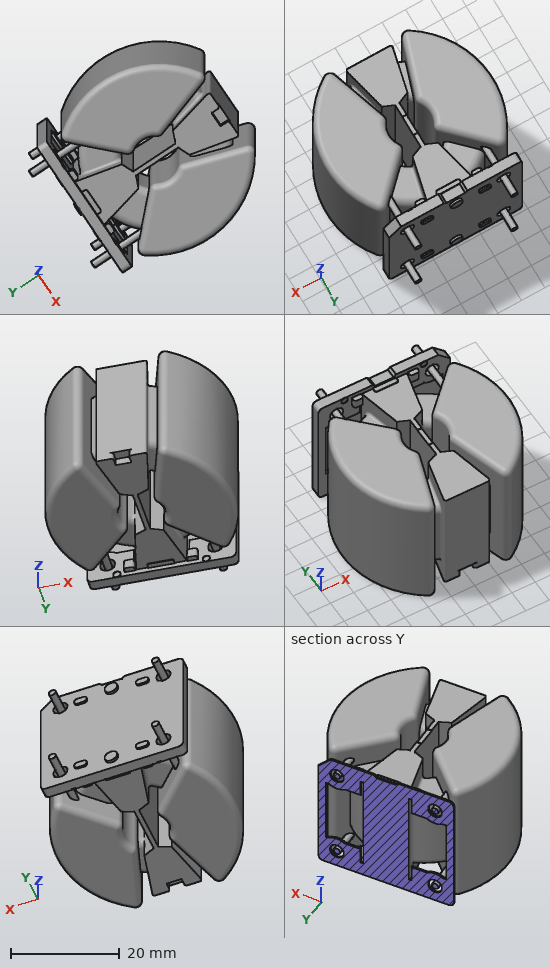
import cadquery as cq
import math


ring_outer_radius = 14.3
ring_inner_radius = 6.35
ring_height = 15.55
ring_edge_radius = 1.55
ring_root_radius = 0.55

winding_span = 35.5
winding_half_width = winding_span / 2
winding_height = 26.0
winding_inner_radius = 4.4
winding_arc_offset = 1.35
winding_lower_angle = 18
winding_lower_gap = 2.05
winding_edge_radius = 1.3

block_height = 23.4
block_end_y = 15.25
block_shoulder_y = 14.6
block_width = 9.65
block_half_width = block_width / 2
block_tip_half_width = 2.75
block_tip_y = 5.65
block_corner_radius = 0.37
web_width = 0.92
web_half_width = web_width / 2
web_end_y = 4.7
web_notch_length = 4.1
web_notch_depth = 0.15
foot_slot_width = 2.95
foot_slot_height = 1.5
foot_slot_depth = 1.85
foot_slot_lip_radius = 0.5

plate_width = 28.35
plate_height = 25.53
plate_front_y = 14.7
plate_back_y = 16.8
plate_corner_radius = 1.05
plate_key_chamfer = 2.6
plate_notch_width = 4.0
plate_notch_mouth_width = 5.05
plate_notch_depth = 0.5
recess_half_width = 12.55
recess_half_height = 6.6
pocket_half_width = 5.3
mark_x = 8.5
mark_z = 12.0
mark_radius = 0.7
mark_depth = 0.1

pin_x = 10.25
pin_z = 9.25
pin_radius = 0.7
pin_end_y = 20.8
pin_root_y = 7.4
pin_hole_radius = 1.4
pin_boss_radius = 3.15

clip_top_z = 11.85
clip_height = 1.95
clip_reach = 1.05
side_clip_x = 6.0
side_clip_width = 2.0
side_clip_radius = 0.5
centre_clip_width = 5.05
centre_clip_radius = 0.37
centre_stud_radius = 1.25
centre_stud_z = 9.95
centre_stud_height = 0.5
side_stud_x = 6.15
side_stud_width = 2.5
side_stud_height = 0.37


def centred_prism(outline, height):
    """Extrude an XY outline symmetrically about Z = 0."""
    return outline.extrude(height / 2, both=True)


def box_between(x, y, z):
    """Box given by its (low, high) limits along each axis."""
    size = [high - low for low, high in (x, y, z)]
    return cq.Workplane("XY").box(*size, centered=False).translate((x[0], y[0], z[0]))


def rod(x, z, radius, y_start, y_end):
    """Cylinder along Y."""
    plane = cq.Workplane("XZ", origin=(0, y_start, 0))
    return plane.center(x, z).circle(radius).extrude(y_start - y_end)


def make_winding():
    """Winding on the -X side, a ring sector with every edge rounded."""
    outer_radius = winding_half_width + winding_arc_offset
    diagonal = math.sqrt(0.5)
    angle = math.radians(winding_lower_angle)
    side_x, side_y = -math.sin(angle), -math.cos(angle)
    foot_x, foot_y = -winding_lower_gap * math.cos(angle), winding_lower_gap * math.sin(angle)

    half = winding_arc_offset * diagonal
    upper_run = math.sqrt(outer_radius**2 - half**2) - half
    upper_outer = (-upper_run * diagonal, upper_run * diagonal)
    upper_inner = (-winding_inner_radius * diagonal, winding_inner_radius * diagonal)

    inner_run = math.sqrt(winding_inner_radius**2 - winding_lower_gap**2)
    across = winding_lower_gap + winding_arc_offset * math.cos(angle)
    along = winding_arc_offset * math.sin(angle)
    outer_run = math.sqrt(outer_radius**2 - across**2) - along
    lower_inner = (foot_x + inner_run * side_x, foot_y + inner_run * side_y)
    lower_outer = (foot_x + outer_run * side_x, foot_y + outer_run * side_y)

    outline = (
        cq.Workplane("XY")
        .moveTo(*upper_inner)
        .lineTo(*upper_outer)
        .threePointArc((-winding_half_width, 0), lower_outer)
        .lineTo(*lower_inner)
        .threePointArc((-winding_inner_radius, 0), upper_inner)
        .close()
    )
    return centred_prism(outline, winding_height).edges().fillet(winding_edge_radius)


def make_ring():
    outline = cq.Workplane("XY").circle(ring_outer_radius).circle(ring_inner_radius)
    return centred_prism(outline, ring_height).edges().fillet(ring_edge_radius)


def make_block():
    """Wedge block on the +Y side."""
    half_outline = [
        (web_half_width, web_end_y),
        (block_tip_half_width, block_tip_y),
        (block_half_width, block_shoulder_y),
        (block_half_width, block_end_y),
    ]
    mirrored = [(-x, y) for x, y in reversed(half_outline)]
    outline = cq.Workplane("XY").polyline(half_outline + mirrored).close()
    block = centred_prism(outline, block_height)
    return block.edges("|Z and >Y").fillet(block_corner_radius)


def make_web():
    web = cq.Workplane("XY").box(web_width, 2 * web_end_y, block_height)
    notch = cq.Workplane("XY").box(web_width, web_notch_length, 2 * web_notch_depth)
    return web.cut(notch.translate((0, 0, block_height / 2)))


def make_foot_slot():
    """Slot in the foot of the -Y block, with its mouth rounded outwards."""
    half = foot_slot_width / 2
    lip = foot_slot_lip_radius
    bulge = lip * (1 - math.sqrt(0.5))
    front = -block_end_y
    outline = (
        cq.Workplane("XY", origin=(0, 0, -block_height / 2))
        .moveTo(-half - lip, front)
        .lineTo(half + lip, front)
        .threePointArc((half + bulge, front + bulge), (half, front + lip))
        .lineTo(half, front + foot_slot_depth)
        .lineTo(-half, front + foot_slot_depth)
        .lineTo(-half, front + lip)
        .threePointArc((-half - bulge, front + bulge), (-half - lip, front))
        .close()
    )
    return outline.extrude(foot_slot_height)


def make_spacer_on_ring():
    back_block = make_block()
    front_block = back_block.mirror("XZ")
    body = make_ring().union(back_block).union(front_block)

    reach = (block_half_width, block_end_y, (ring_height + block_height) / 4)
    within_blocks = cq.selectors.BoxSelector([-r for r in reach], reach, boundingbox=True)
    body = body.edges(within_blocks).fillet(ring_root_radius)
    return body.union(make_web()).cut(make_foot_slot())


def make_plate():
    thickness = plate_back_y - plate_front_y
    plate = cq.Workplane("XY").box(plate_width, thickness, plate_height)
    plate = plate.translate((0, (plate_front_y + plate_back_y) / 2, 0))
    plate = plate.edges("|Y and >X and >Z").chamfer(plate_key_chamfer)
    plate = plate.edges("|Y and <X").fillet(plate_corner_radius)
    plate = plate.edges("|Y and >X and <Z").fillet(plate_corner_radius)

    top = plate_height / 2
    floor = top - plate_notch_depth
    notch = (
        cq.Workplane("XZ", origin=(0, plate_back_y, 0))
        .polyline([
            (-plate_notch_mouth_width / 2, top),
            (-plate_notch_width / 2, floor),
            (plate_notch_width / 2, floor),
            (plate_notch_mouth_width / 2, top),
        ])
        .close()
        .extrude(thickness)
    )

    depth_range = (plate_front_y, block_end_y)
    pocket_half_height = clip_top_z - clip_height
    recess = box_between(
        (-recess_half_width, recess_half_width), depth_range, (-recess_half_height, recess_half_height)
    )
    pocket = box_between(
        (-pocket_half_width, pocket_half_width), depth_range, (-pocket_half_height, pocket_half_height)
    )
    recess = recess.union(pocket)
    for x in (-pin_x, pin_x):
        for z in (-pin_z, pin_z):
            recess = recess.cut(rod(x, z, pin_boss_radius, *depth_range))
            plate = plate.cut(rod(x, z, pin_hole_radius, plate_front_y, plate_back_y))
    plate = plate.cut(notch).cut(recess)

    for x in (-mark_x, mark_x):
        for z in (-mark_z, mark_z):
            plate = plate.cut(rod(x, z, mark_radius, plate_front_y, plate_front_y + mark_depth))
    return plate


def make_clip(x, width, radius):
    """Clip near the top edge, its front corners rounded."""
    clip = box_between(
        (x - width / 2, x + width / 2),
        (plate_front_y - clip_reach, plate_back_y),
        (clip_top_z - clip_height, clip_top_z),
    )
    return clip.edges("|Z and <Y").fillet(radius)


def make_side_stud(x):
    """Round-ended bar level with the pins, on the back of the plate."""
    plane = cq.Workplane("XZ", origin=(0, plate_back_y, 0))
    return plane.center(x, pin_z).slot2D(side_stud_width, 2 * pin_radius).extrude(-side_stud_height)


def make_fixings():
    """Clips and studs at the top edge, repeated at the bottom edge."""
    fixings = make_clip(0, centre_clip_width, centre_clip_radius)
    fixings = fixings.union(
        rod(0, centre_stud_z, centre_stud_radius, plate_front_y, plate_back_y + centre_stud_height)
    )
    for side in (-1, 1):
        fixings = fixings.union(make_clip(side * side_clip_x, side_clip_width, side_clip_radius))
        fixings = fixings.union(make_side_stud(side * side_stud_x))
    return fixings.union(fixings.mirror("XY"))


winding = make_winding()
result = make_spacer_on_ring().union(winding).union(winding.mirror("YZ"))
result = result.union(make_plate()).union(make_fixings())
for x in (-pin_x, pin_x):
    for z in (-pin_z, pin_z):
        result = result.union(rod(x, z, pin_radius, pin_root_y, pin_end_y))